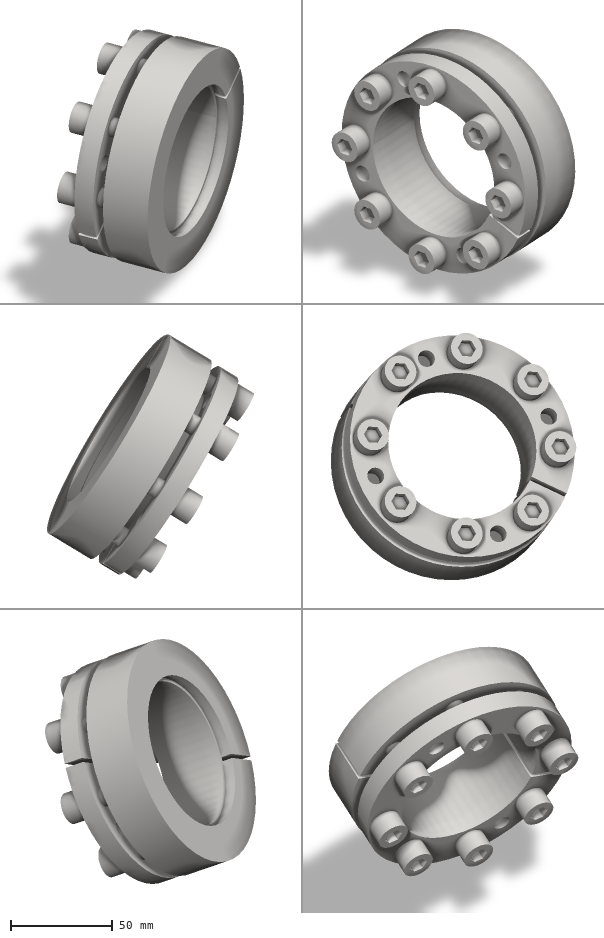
import cadquery as cq
import math

head_height = 10.0
flange_thickness = 10.2
gap_width = 5.6
ring_width = 24.1
total_length = head_height + flange_thickness + gap_width + ring_width

flange_front = head_height
flange_back = flange_front + flange_thickness
ring_front = flange_back + gap_width
ring_back = total_length

ring_diameter = 114.9
flange_diameter = 113.8
bore_diameter = 75.0
taper_angle = 4.0
taper_root_radius = 40.9
sleeve_setback = 6.0
sleeve_back = ring_back - sleeve_setback
slit_width = 2.1
slit_angle = 22.5

pitch_radius = 47.5
screw_count = 8
shank_diameter = 10.0
shank_length = 35.0
head_diameter = 16.0
socket_across_flats = 8.0
socket_depth = 5.0
jack_hole_count = 4
jack_hole_diameter = 8.5
jack_hole_start_angle = slit_angle + 180 / jack_hole_count


def taper_radius(x):
    """Radius of the tapered fit between sleeve and clamping ring at position x."""
    return taper_root_radius - (x - flange_back) * math.tan(math.radians(taper_angle))


def plane_at(x):
    """Workplane across the axis: local x is +Y, local y is +Z, extrusion goes to +X."""
    return cq.Workplane("YZ", origin=(x, 0, 0))


def on_pitch_circle(angle):
    """Y and Z of a point on the pitch circle, the angle measured from +Y to +Z."""
    turn = math.radians(angle)
    return pitch_radius * math.cos(turn), pitch_radius * math.sin(turn)


def tapered_core(back):
    """Solid cone from the flange to position back, the shape of the tapered fit."""
    profile = [
        (flange_back, 0),
        (flange_back, taper_radius(flange_back)),
        (back, taper_radius(back)),
        (back, 0),
    ]
    return cq.Workplane("XY").polyline(profile).close().revolve(360, (0, 0, 0), (1, 0, 0))


def slit(angle):
    """Radial cutter through one wall of a ring, over the full length."""
    cutter = cq.Workplane("XY").box(
        total_length, ring_diameter, slit_width, centered=(False, False, True)
    )
    return cutter.rotate((0, 0, 0), (1, 0, 0), angle)


def shank():
    """Screw shank on the axis, also the cutter for its hole."""
    return plane_at(flange_front).circle(shank_diameter / 2).extrude(shank_length)


def at_screws(shape):
    """Copies of an on-axis shape, one at each screw position."""
    copies = []
    for i in range(screw_count):
        y, z = on_pitch_circle(i * 360 / screw_count)
        copies.append(shape.translate((0, y, z)))
    return copies


def cut_screw_holes(body):
    """The body with a matching hole for every screw shank."""
    for hole in at_screws(shank()):
        body = body.cut(hole)
    return body


def make_flanged_sleeve():
    """Slit inner sleeve with a tapered outside, and a flange that carries the screws."""
    sleeve = plane_at(flange_front).circle(flange_diameter / 2).extrude(flange_thickness)
    sleeve = sleeve.union(tapered_core(sleeve_back))
    sleeve = sleeve.cut(plane_at(flange_front).circle(bore_diameter / 2).extrude(total_length))
    jack_points = [
        on_pitch_circle(jack_hole_start_angle + i * 360 / jack_hole_count)
        for i in range(jack_hole_count)
    ]
    jack_holes = plane_at(flange_front).pushPoints(jack_points)
    sleeve = sleeve.cut(jack_holes.circle(jack_hole_diameter / 2).extrude(flange_thickness))
    sleeve = cut_screw_holes(sleeve)
    return sleeve.cut(slit(slit_angle + 180))


def make_clamping_ring():
    """Slit outer ring with a tapered bore and blind screw holes."""
    ring = plane_at(ring_front).circle(ring_diameter / 2).extrude(ring_width)
    ring = ring.cut(tapered_core(ring_back))
    ring = cut_screw_holes(ring)
    return ring.cut(slit(slit_angle))


def make_screws():
    """Socket head cap screws around the pitch circle."""
    socket_across_corners = socket_across_flats / math.cos(math.radians(30))
    head = plane_at(0).circle(head_diameter / 2).extrude(head_height)
    socket = plane_at(0).polygon(6, socket_across_corners).extrude(socket_depth)
    return at_screws(head.union(shank()).cut(socket))


flanged_sleeve = make_flanged_sleeve()
clamping_ring = make_clamping_ring()
screws = make_screws()

result = cq.Compound.makeCompound(
    [flanged_sleeve.val(), clamping_ring.val(), *[screw.val() for screw in screws]]
)